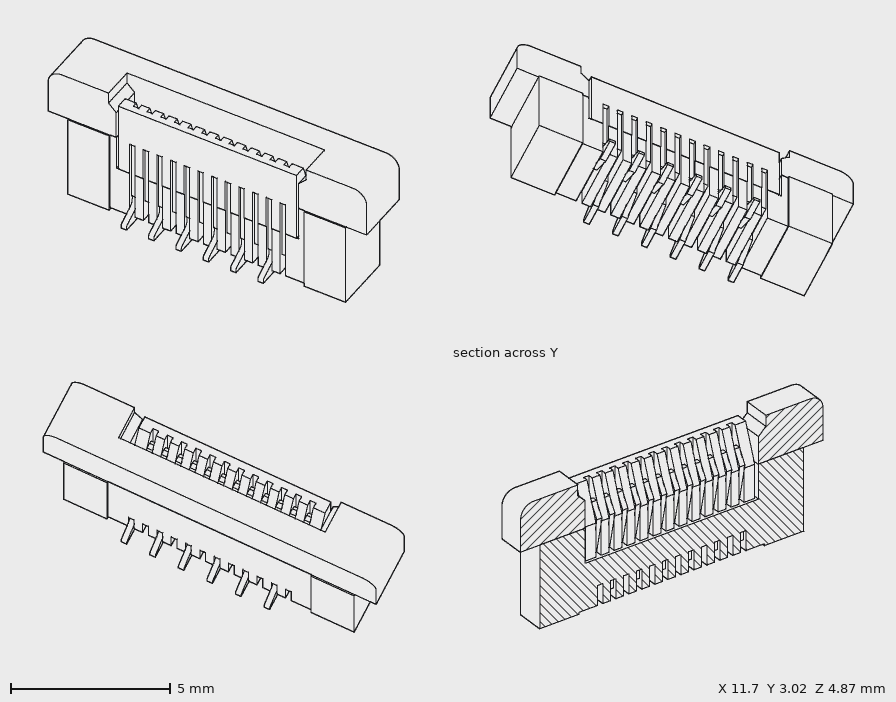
import cadquery as cq
import math


total_length = 11.65
total_height = 4.87
foot_reach = 3.02 / 2

cap_depth = 2.0
cap_bottom = 3.16
cap_corner_radius = 0.5
notch_back = 0.13
notch_mouth_length = 7.22
notch_mouth_depth = 0.41

housing_length = 10.16
middle_length = 7.13
block_depth = 2.1
block_bottom = 0.08
middle_depth = 1.98
middle_bottom = 0.15

recess_length = 6.66
recess_floor = 1.89
recess_back = 0.08

tongue_length = 6.51
tongue_top = 4.49
tongue_front = -cap_depth / 2
tongue_back = -0.09
taper_start = -0.58
taper_angle = 70.0

contact_count = 12
row_length = 5.5
contact_pitch = row_length / (contact_count - 1)
contact_width = 0.2

groove_top = 3.09
groove_depth = 0.12
groove_floor = tongue_front + groove_depth
window_top = 0.89
slot_front = -0.76

tip_top = 3.79
tip_rear = -0.64
tip_flat_start = -0.51
tip_flat_end = -0.34
tip_nose = -0.05
tip_rear_angle = 33.5
tip_lead_angle = 60.0

foot_angle = 30.0
foot_tip_height = 0.16
foot_tip_radius = 0.1
foot_bend_height = 0.55
foot_bend_radius = 0.22
stem_lean_angle = 4.2
heel = 0.8
heel_top = 0.5
stem_inner = 0.12


def tangent(degrees):
    return math.tan(math.radians(degrees))


def block(length, front, back, bottom, top):
    """A box centred in X, between the given Y and Z limits."""
    return (
        cq.Workplane("XY")
        .box(length, back - front, top - bottom, centered=(True, False, False))
        .translate((0, front, bottom))
    )


def side_plate(points, width):
    """A plate centred in X with the given (Y, Z) outline."""
    return cq.Workplane("YZ").polyline(points).close().extrude(width / 2, both=True)


def make_cap():
    body = block(total_length, -cap_depth / 2, cap_depth / 2, cap_bottom, total_height)
    body = body.edges("|Y and >Z").fillet(cap_corner_radius)
    mouth = notch_mouth_length / 2
    throat = recess_length / 2
    mouth_bottom = total_height - notch_mouth_depth
    chamfer_bottom = mouth_bottom - (mouth - throat)
    notch = (
        cq.Workplane("XZ", origin=(0, notch_back, 0))
        .polyline([
            (-mouth, total_height),
            (mouth, total_height),
            (mouth, mouth_bottom),
            (throat, chamfer_bottom),
            (throat, cap_bottom),
            (-throat, cap_bottom),
            (-throat, chamfer_bottom),
            (-mouth, mouth_bottom),
        ])
        .close()
        .extrude(notch_back + cap_depth / 2)
    )
    return body.cut(notch)


def make_tongue():
    taper_bottom = tongue_top - (tongue_back - taper_start) * tangent(taper_angle)
    outline = [
        (tongue_front, recess_floor),
        (tongue_front, tongue_top),
        (taper_start, tongue_top),
        (tongue_back, taper_bottom),
        (tongue_back, recess_floor),
    ]
    return side_plate(outline, tongue_length)


def make_housing_shell():
    """The end blocks, the middle section with its recess, and the tongue."""
    shell = block(housing_length, -block_depth / 2, block_depth / 2, block_bottom, cap_bottom)
    middle_front = -middle_depth / 2
    front_trim = block(middle_length, -block_depth, middle_front, 0, cap_bottom)
    shell = shell.cut(front_trim).cut(front_trim.mirror("XZ"))
    shell = shell.cut(block(middle_length, -block_depth, block_depth, 0, middle_bottom))
    shell = shell.cut(block(recess_length, -block_depth, recess_back, recess_floor, cap_bottom))
    return shell.union(make_tongue())


def make_contact_openings():
    """The front groove, the bottom window and the tongue slot for one contact."""
    groove = block(contact_width, -block_depth, groove_floor, 0, groove_top)
    window = block(contact_width, -block_depth, block_depth, 0, window_top)
    slot = block(contact_width, slot_front, tongue_back, recess_floor, tongue_top)
    return groove.union(window).union(slot)


def make_contact_tip():
    """The end that stands in the tongue slot, with a nose toward the rear."""
    rear_height = tip_top - (tip_flat_start - tip_rear) * tangent(tip_rear_angle)
    nose_height = tip_top - (tip_nose - tip_flat_end) * tangent(tip_lead_angle)
    return side_plate([
        (tip_rear, recess_floor),
        (tip_rear, rear_height),
        (tip_flat_start, tip_top),
        (tip_flat_end, tip_top),
        (tip_nose, nose_height),
        (tip_flat_end, recess_floor),
    ], contact_width)


def make_contact_foot():
    """The lower end with its foot toward the front."""
    bend = -foot_reach + (foot_bend_height - foot_tip_height) / tangent(foot_angle)
    stem_front = bend + (window_top - foot_bend_height) * tangent(stem_lean_angle)
    foot = side_plate([
        (-foot_reach, 0),
        (-heel, 0),
        (-stem_inner, heel_top),
        (-stem_inner, window_top),
        (stem_front, window_top),
        (bend, foot_bend_height),
        (-foot_reach, foot_tip_height),
    ], contact_width)

    def edge_at(y, z):
        return cq.selectors.NearestToPointSelector((0, y, z))

    foot = foot.edges(edge_at(bend, foot_bend_height)).fillet(foot_bend_radius)
    return foot.edges(edge_at(-foot_reach, foot_tip_height)).fillet(foot_tip_radius)


def make_housing():
    """The moulded shell with its contacts set in; the feet point alternately front and rear."""
    housing = make_housing_shell()
    openings = make_contact_openings()
    tip = make_contact_tip()
    front_foot = make_contact_foot()
    rear_foot = front_foot.mirror("XZ")
    for i in range(contact_count):
        place = (i * contact_pitch - row_length / 2, 0, 0)
        foot = front_foot if i % 2 == 0 else rear_foot
        housing = housing.cut(openings.translate(place))
        housing = housing.union(tip.translate(place)).union(foot.translate(place))
    return housing


cap = make_cap()
housing = make_housing()

result = cq.Compound.makeCompound([cap.val(), *housing.vals()])